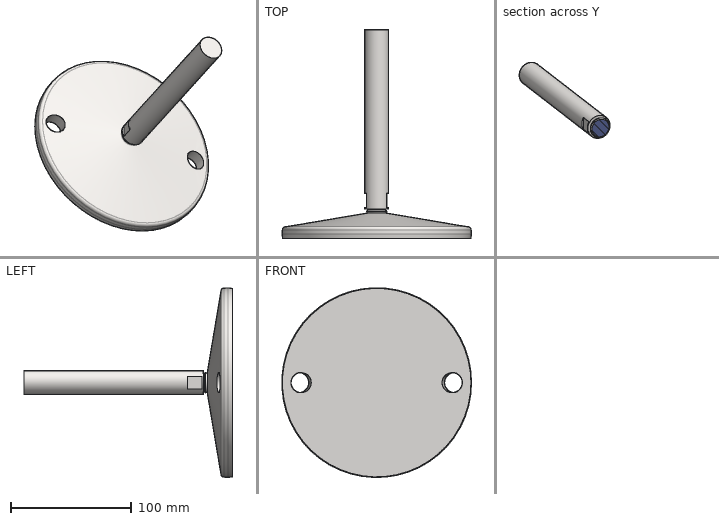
import cadquery as cq
import math

total_length = 174.0

foot_diameter = 158.0
rim_draft = 0.5
widest_height = 4.0
fillet_start_height = 7.3
fillet_start_inset = 0.26
fillet_end_height = 10.0
fillet_end_inset = 3.0
cone_top_height = 21.2
cone_top_radius = 8.7
foot_radius = foot_diameter / 2
fillet_start_radius = foot_radius - fillet_start_inset
fillet_end_radius = foot_radius - fillet_end_inset
cone_rise = cone_top_height - fillet_end_height
cone_angle = math.degrees(math.atan2(cone_rise, fillet_end_radius - cone_top_radius))

hole_diameter = 16.5
hole_offset = 62.8
hole_overrun = 17.4
hole_cut_length = 69.6

stem_diameter = 20.0
stem_start = 24.5
groove_height = 23.7
groove_radius = 7.5
collar_height = 22.8
collar_radius = 8.5
neck_base_radius = 7.8
flat_start = 25.8
flat_length = 11.8
across_flats = 17.0
stem_radius = stem_diameter / 2


def make_foot():
    bulge = 1 - math.sqrt(0.5)
    mid_radius = fillet_start_radius - bulge * (fillet_start_radius - fillet_end_radius)
    mid_height = fillet_end_height - bulge * (fillet_end_height - fillet_start_height)
    foot = (
        cq.Workplane("XY")
        .lineTo(foot_radius - rim_draft, 0)
        .lineTo(foot_radius, widest_height)
        .lineTo(fillet_start_radius, fillet_start_height)
        .threePointArc((mid_radius, mid_height), (fillet_end_radius, fillet_end_height))
        .lineTo(cone_top_radius, cone_top_height)
        .lineTo(0, cone_top_height)
        .close()
        .revolve(360, (0, 0, 0), (0, 1, 0))
    )
    for side in (-1, 1):
        foot = foot.cut(make_anchor_hole(side))
    return foot


def make_anchor_hole(side):
    tilt = math.radians(cone_angle)
    axis = cq.Vector(side * math.sin(tilt), math.cos(tilt), 0)
    start = cq.Vector(side * hole_offset, 0, 0) - axis * hole_overrun
    return cq.Solid.makeCylinder(hole_diameter / 2, hole_cut_length, start, axis)


def make_stem():
    stem = (
        cq.Workplane("XY")
        .moveTo(0, cone_top_height)
        .lineTo(neck_base_radius, cone_top_height)
        .lineTo(collar_radius, collar_height)
        .lineTo(groove_radius, groove_height)
        .lineTo(groove_radius, stem_start)
        .lineTo(stem_radius, stem_start)
        .lineTo(stem_radius, total_length)
        .lineTo(0, total_length)
        .close()
        .revolve(360, (0, 0, 0), (0, 1, 0))
    )
    for side in (-1, 1):
        flat_cut = cq.Workplane("XY").box(stem_diameter, flat_length, stem_diameter)
        flat_x = side * (across_flats + stem_diameter) / 2
        stem = stem.cut(flat_cut.translate((flat_x, flat_start + flat_length / 2, 0)))
    return stem


foot = make_foot()
stem = make_stem()

result = cq.Compound.makeCompound([foot.val(), stem.val()])